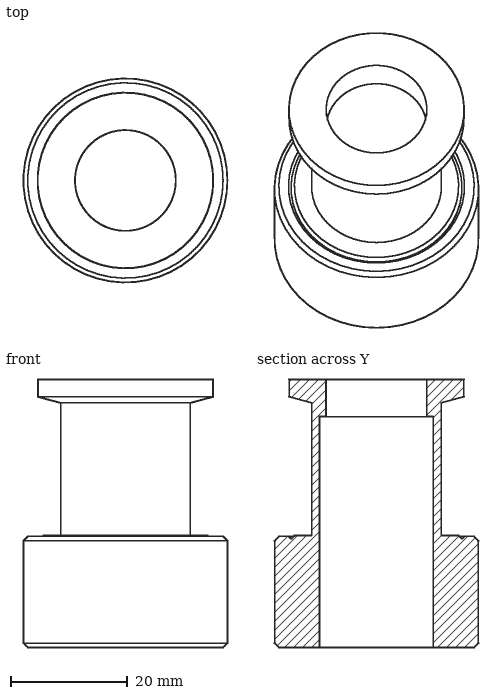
import cadquery as cq
import math

total_height = 45.85

flange_radius = 29.97 / 2
flange_rim_height = 3.0
flange_taper_angle = 15.0

neck_radius = 22.23 / 2
upper_bore_radius = 17.2 / 2
upper_bore_depth = 6.35
lower_bore_radius = 19.43 / 2

nut_radius = 34.92 / 2
nut_height = 19.05
nut_chamfer = 0.76

groove_outer_radius = 30.1 / 2
shoulder_radius = 28.09 / 2
shoulder_rise = 0.13

flange_taper_height = (flange_radius - neck_radius) * math.tan(math.radians(flange_taper_angle))
rim_bottom = total_height - flange_rim_height
taper_bottom = rim_bottom - flange_taper_height
shoulder_top = nut_height + shoulder_rise
bore_step = total_height - upper_bore_depth

groove_root_radius = (groove_outer_radius + shoulder_radius + shoulder_rise) / 2
groove_depth = groove_outer_radius - groove_root_radius


def make_body():
    """Revolve the half section of the nut, neck and flange, bore included, about Z."""
    section = [
        (lower_bore_radius, 0),
        (nut_radius - nut_chamfer, 0),
        (nut_radius, nut_chamfer),
        (nut_radius, nut_height - nut_chamfer),
        (nut_radius - nut_chamfer, nut_height),
        (groove_outer_radius, nut_height),
        (groove_root_radius, nut_height - groove_depth),
        (shoulder_radius, shoulder_top),
        (neck_radius, shoulder_top),
        (neck_radius, taper_bottom),
        (flange_radius, rim_bottom),
        (flange_radius, total_height),
        (upper_bore_radius, total_height),
        (upper_bore_radius, bore_step),
        (lower_bore_radius, bore_step),
    ]
    return cq.Workplane("XZ").polyline(section).close().revolve(360, (0, 0, 0), (0, 1, 0))


result = make_body()